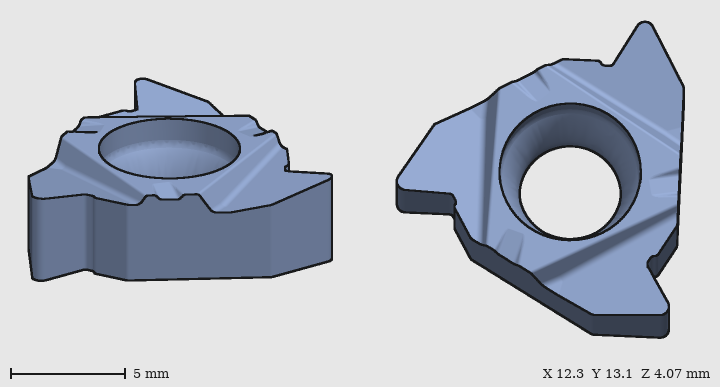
import cadquery as cq
import math

TOOTH_COUNT = 3
OVERALL_LENGTH = 13.14
THICKNESS = 4.07
OVERSIZE = 15.77

SHORTEST_LINE = 0.001
SIDE_DISTANCE = 4.76
FLANK_DISTANCE = 5.16
TIP_Y = -6.92
TIP_RADIUS = 0.4
TIP_CENTRE_Y = TIP_Y + TIP_RADIUS
NEXT_TIP_CENTRE_Y = OVERALL_LENGTH + TIP_Y - TIP_RADIUS
TIP_X = -(NEXT_TIP_CENTRE_Y + TIP_CENTRE_Y / 2) / (math.sqrt(3) / 2)
TOOTH_HALF_ANGLE = 30.0
NOTCH_DEPTH = 0.2
NOTCH_END_X = -1.05
NOTCH_RADIUS = NOTCH_DEPTH
CORNER_RADIUS = 0.26

TIP_HEIGHT = 3.95
RAKE_ANGLE = 10.0
LEDGE_HEIGHT = 3.17
LEDGE_ANGLE = 3.0
WALL_DISTANCE = 3.36
WALL_DIRECTION = -121.8
WALL_ANGLE = 60.0
GROOVE_RADIUS = 0.3
RIM_RADIUS = 0.16

POCKET_END_X = -3.52
POCKET_END_Y = 0.54
POCKET_FLOOR_WIDTH = 0.81
POCKET_DIRECTION = 12.5
POCKET_SLOPE = 10.0
POCKET_WALL_ANGLE = 47.0
POCKET_RADIUS = 0.2
POCKET_RIM_RADIUS = 0.17
POCKET_WALL_HEIGHT = 0.79
POCKET_OVERRUN = 0.79
POCKET_LENGTH = 2.63

HOLE_DIAMETER = 4.4
SEAT_DIAMETER = 6.15
FLARE_DEPTH = 3.55
FLARE_RADIUS = 3.55
SEAT_RADIUS = 0.53


def sin(angle):
    return math.sin(math.radians(angle))


def cos(angle):
    return math.cos(math.radians(angle))


def tan(angle):
    return math.tan(math.radians(angle))


def spun_copies(shape):
    """The shape repeated once per tooth about the Z axis."""
    step = 360 / TOOTH_COUNT
    return [shape.rotate((0, 0, 0), (0, 0, 1), index * step) for index in range(TOOTH_COUNT)]


def cut_each_tooth(body, cutter):
    for copy in spun_copies(cutter):
        body = body.cut(copy)
    return body


def tooth_corners():
    """Sharp corners of one third of the outline, each with its rounding radius."""
    flank_slope = 1 / tan(TOOTH_HALF_ANGLE)
    sharp_tip_y = TIP_Y - TIP_RADIUS * (1 / sin(TOOTH_HALF_ANGLE) - 1)
    side_corner_y = sharp_tip_y + (TIP_X + SIDE_DISTANCE) * flank_slope
    notch_y = NOTCH_DEPTH - FLANK_DISTANCE
    root_x = TIP_X + (notch_y - sharp_tip_y) / flank_slope
    ramp_start_x = NOTCH_END_X - NOTCH_DEPTH / flank_slope
    next_side_x = 2 * SIDE_DISTANCE - math.sqrt(3) * FLANK_DISTANCE
    return [
        (cq.Vector(-SIDE_DISTANCE, side_corner_y), CORNER_RADIUS),
        (cq.Vector(TIP_X, sharp_tip_y), TIP_RADIUS),
        (cq.Vector(root_x, notch_y), NOTCH_RADIUS),
        (cq.Vector(ramp_start_x, notch_y), NOTCH_RADIUS),
        (cq.Vector(NOTCH_END_X, -FLANK_DISTANCE), NOTCH_RADIUS),
        (cq.Vector(next_side_x, -FLANK_DISTANCE), CORNER_RADIUS),
    ]


def corner_arc(before, corner, after, radius):
    """Start, middle and end of the arc that rounds a corner."""
    to_before = (before - corner).normalized()
    to_after = (after - corner).normalized()
    half_angle = to_before.getAngle(to_after) / 2
    tangent_length = radius / math.tan(half_angle)
    bisector = (to_before + to_after).normalized()
    middle = corner + bisector * (radius / math.sin(half_angle) - radius)
    return corner + to_before * tangent_length, middle, corner + to_after * tangent_length


def make_outline():
    corners = []
    for index in range(TOOTH_COUNT):
        spin = cq.Plane.XY().rotated((0, 0, index * 360 / TOOTH_COUNT))
        corners += [(spin.toWorldCoords(point), radius) for point, radius in tooth_corners()]
    arcs = []
    for index, (corner, radius) in enumerate(corners):
        before = corners[index - 1][0]
        after = corners[(index + 1) % len(corners)][0]
        arcs.append(corner_arc(before, corner, after, radius))
    edges = []
    for index, (start, middle, end) in enumerate(arcs):
        previous_end = arcs[index - 1][2]
        if (start - previous_end).Length > SHORTEST_LINE:
            edges.append(cq.Edge.makeLine(previous_end, start))
        else:
            start = previous_end
        edges.append(cq.Edge.makeThreePointArc(start, middle, end))
    return cq.Wire.assembleEdges(edges)


def half_space(origin, normal):
    """Large block on the side of a plane that its normal points to."""
    return cq.Workplane(cq.Plane(origin, normal=normal)).rect(OVERSIZE, OVERSIZE).extrude(OVERSIZE)


def make_groove_cutter():
    """Room above the tooth face and the ledge, outside the groove wall."""
    wall_x = WALL_DISTANCE * cos(WALL_DIRECTION)
    wall_y = WALL_DISTANCE * sin(WALL_DIRECTION)
    wall_normal = (
        sin(WALL_ANGLE) * cos(WALL_DIRECTION),
        sin(WALL_ANGLE) * sin(WALL_DIRECTION),
        cos(WALL_ANGLE),
    )
    outside_wall = half_space((wall_x, wall_y, THICKNESS), wall_normal)
    above_tooth = half_space((TIP_X, TIP_Y, TIP_HEIGHT), (0, sin(RAKE_ANGLE), cos(RAKE_ANGLE)))
    above_ledge = half_space((-SIDE_DISTANCE, 0, LEDGE_HEIGHT), (sin(LEDGE_ANGLE), 0, cos(LEDGE_ANGLE)))
    cutter = outside_wall.intersect(above_tooth).intersect(above_ledge)
    return cutter.vertices("<Z").ancestors("Edge").fillet(GROOVE_RADIUS)


def round_groove_rims(body):
    """Round the top edge of each groove wall; the main sides lie farther out."""
    def is_rim(edge):
        middle = edge.positionAt(0.5)
        return math.hypot(middle.x, middle.y) < (WALL_DISTANCE + SIDE_DISTANCE) / 2
    rims = [edge for edge in body.faces(">Z").edges().vals() if is_rim(edge)]
    return body.newObject(rims).fillet(RIM_RADIUS)


def make_pocket_cutter():
    """Flat-floored channel that runs down and outward from the top face."""
    outward = (
        -cos(POCKET_SLOPE) * cos(POCKET_DIRECTION),
        -cos(POCKET_SLOPE) * sin(POCKET_DIRECTION),
        -sin(POCKET_SLOPE),
    )
    across = (sin(POCKET_DIRECTION), -cos(POCKET_DIRECTION), 0)
    plane = cq.Plane((POCKET_END_X, POCKET_END_Y, THICKNESS), xDir=across, normal=outward)
    half_floor = POCKET_FLOOR_WIDTH / 2
    half_top = half_floor + POCKET_WALL_HEIGHT / tan(POCKET_WALL_ANGLE)
    section = [
        (-half_floor, 0),
        (half_floor, 0),
        (half_top, POCKET_WALL_HEIGHT),
        (-half_top, POCKET_WALL_HEIGHT),
    ]
    start = cq.Workplane(plane).workplane(offset=-POCKET_OVERRUN)
    channel = start.polyline(section).close().extrude(POCKET_LENGTH)
    floor_side = cq.selectors.DirectionMinMaxSelector(plane.yDir, False)
    lengthwise = cq.selectors.ParallelDirSelector(plane.zDir)
    return channel.faces(floor_side).edges(lengthwise).fillet(POCKET_RADIUS)


def round_pocket_rims(body):
    """Round the top edges of the pockets, which run inward from the main sides."""
    def is_rim(edge):
        middle = edge.positionAt(0.5)
        return WALL_DISTANCE < math.hypot(middle.x, middle.y) < SIDE_DISTANCE
    rims = [edge for edge in body.faces(">Z").edges().vals() if is_rim(edge)]
    return body.newObject(rims).fillet(POCKET_RIM_RADIUS)


def make_hole_cutter():
    """Screw hole that flares up into a round seat."""
    hole_radius = HOLE_DIAMETER / 2
    seat_radius = SEAT_DIAMETER / 2
    flare_end_z = THICKNESS - FLARE_DEPTH
    flare_centre_r = hole_radius + FLARE_RADIUS

    def flare_r(z):
        return flare_centre_r - math.sqrt(FLARE_RADIUS ** 2 - (z - flare_end_z) ** 2)

    flare_top_z = flare_end_z + math.sqrt(FLARE_RADIUS ** 2 - (flare_centre_r - seat_radius) ** 2)
    flare_middle_z = (flare_top_z + flare_end_z) / 2
    section = (
        cq.Workplane("XZ")
        .moveTo(0, 0)
        .lineTo(hole_radius, 0)
        .lineTo(hole_radius, flare_end_z)
        .threePointArc((flare_r(flare_middle_z), flare_middle_z), (seat_radius, flare_top_z))
        .lineTo(seat_radius, THICKNESS)
        .lineTo(0, THICKNESS)
        .close()
    )
    cutter = section.revolve(360, (0, 0, 0), (0, 1, 0))
    seat_edge = cq.selectors.NearestToPointSelector((0, 0, flare_top_z))
    return cutter.edges("%CIRCLE").edges(seat_edge).fillet(SEAT_RADIUS)


blank = cq.Workplane(cq.Solid.extrudeLinear(make_outline(), [], cq.Vector(0, 0, THICKNESS)))
body = cut_each_tooth(blank, make_groove_cutter())
body = round_groove_rims(body)
body = cut_each_tooth(body, make_pocket_cutter())
body = round_pocket_rims(body)
result = body.cut(make_hole_cutter())